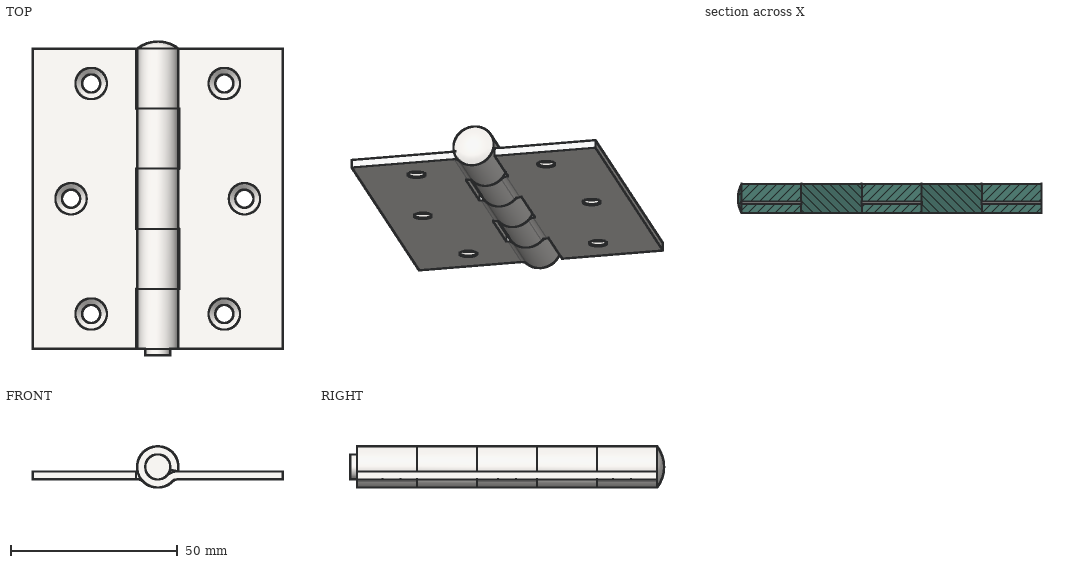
import cadquery as cq
import math


hinge_width = 75.0
leaf_length = 90.0
leaf_thickness = 2.45
pin_diameter = 7.5
pin_tip_length = 2.0
pin_head_height = 2.2
knuckle_count = 5
bend_radius = 2.3
notch_clearance = 0.3

screw_hole_diameter = 5.4
countersink_diameter = 9.4
countersink_angle = 90.0
outer_hole_x = 20.0
middle_hole_x = 26.0
outer_hole_y = 34.55

pin_radius = pin_diameter / 2
roll_radius = pin_radius + leaf_thickness
pin_head_radius = roll_radius
leaf_bottom = -pin_radius
leaf_top = leaf_bottom + leaf_thickness
leaf_edge_x = hinge_width / 2
notch_x = roll_radius + notch_clearance
knuckle_length = leaf_length / knuckle_count

bend_center_z = leaf_bottom - bend_radius
bend_center_distance = roll_radius + bend_radius
bend_x = math.sqrt(bend_center_distance**2 - bend_center_z**2)


def polar(radius, angle):
    """Point in the XZ plane at a radius and angle (radians) about the pin axis."""
    return (radius * math.cos(angle), radius * math.sin(angle))


def bend_point(radius, angle):
    """Point in the XZ plane at a radius and angle (radians) about the bend center."""
    offset_x, offset_z = polar(radius, angle)
    return (bend_x + offset_x, bend_center_z + offset_z)


def knuckle_prism(index, profile):
    """Extrude a right-hand XZ profile over the knuckle position counted from -Y."""
    start_y = -leaf_length / 2 + index * knuckle_length
    return profile(cq.Workplane("XZ", origin=(0, start_y, 0))).extrude(-knuckle_length)


def rolled_strip(plane):
    """Strip that bends down from the leaf, then rolls under, behind and over the pin."""
    roll_start = math.atan2(bend_center_z, bend_x)
    bend_end = roll_start + math.pi
    bend_middle = (bend_end + math.pi / 2) / 2
    roll_end = math.atan2(leaf_top, bend_x)
    roll_middle = (roll_start + roll_end) / 2 + math.pi
    outer_bend_radius = bend_radius + leaf_thickness
    roll_corner_x = math.sqrt(roll_radius**2 - leaf_top**2)
    return (
        plane.moveTo(notch_x, leaf_bottom)
        .lineTo(bend_x, leaf_bottom)
        .threePointArc(bend_point(bend_radius, bend_middle), polar(roll_radius, roll_start))
        .threePointArc(polar(roll_radius, roll_middle), (roll_corner_x, leaf_top))
        .lineTo(notch_x, leaf_top)
        .close()
        .moveTo(bend_x, leaf_top)
        .lineTo(*polar(pin_radius, roll_end))
        .threePointArc(polar(pin_radius, roll_middle), polar(pin_radius, roll_start))
        .threePointArc(bend_point(outer_bend_radius, bend_middle), (bend_x, leaf_top))
        .close()
    )


def make_flat():
    """Flat of the right-hand leaf, from the notch line to its outer edge."""
    flat_width = leaf_edge_x - notch_x
    return (
        cq.Workplane("XY", origin=(notch_x, 0, leaf_bottom))
        .rect(flat_width, leaf_length)
        .extrude(leaf_thickness)
        .translate((flat_width / 2, 0, 0))
    )


def drill_screw_holes(leaf):
    """Three countersunk holes, the middle one set farther from the pin."""
    hole_points = [
        (outer_hole_x, -outer_hole_y),
        (middle_hole_x, 0),
        (outer_hole_x, outer_hole_y),
    ]
    return (
        leaf.copyWorkplane(cq.Workplane("XY", origin=(0, 0, leaf_top)))
        .pushPoints(hole_points)
        .cskHole(screw_hole_diameter, countersink_diameter, countersink_angle)
    )


def make_leaf(knuckle_indices):
    """Right-hand leaf carrying the knuckles at the given positions."""
    leaf = make_flat()
    for index in knuckle_indices:
        leaf = leaf.union(knuckle_prism(index, rolled_strip))
    return drill_screw_holes(leaf)


def make_pin():
    """Pin with a domed head on the +Y end of the roll and a plain tip beyond the -Y end."""
    tip_y = -leaf_length / 2 - pin_tip_length
    head_y = leaf_length / 2
    crown_y = head_y + pin_head_height
    dome_radius = (pin_head_radius**2 + pin_head_height**2) / (2 * pin_head_height)
    half_angle = math.asin(pin_head_radius / dome_radius) / 2
    dome_middle = (
        dome_radius * math.sin(half_angle),
        crown_y - dome_radius * (1 - math.cos(half_angle)),
    )
    return (
        cq.Workplane("XY")
        .moveTo(0, tip_y)
        .lineTo(pin_radius, tip_y)
        .lineTo(pin_radius, head_y)
        .lineTo(pin_head_radius, head_y)
        .threePointArc(dome_middle, (0, crown_y))
        .close()
        .revolve(360, (0, 0, 0), (0, 1, 0))
    )


right_leaf = make_leaf(range(0, knuckle_count, 2))
left_leaf = make_leaf(range(1, knuckle_count, 2)).mirror("YZ")
pin = make_pin()

result = cq.Compound.makeCompound([right_leaf.solids().val(), left_leaf.solids().val(), pin.val()])